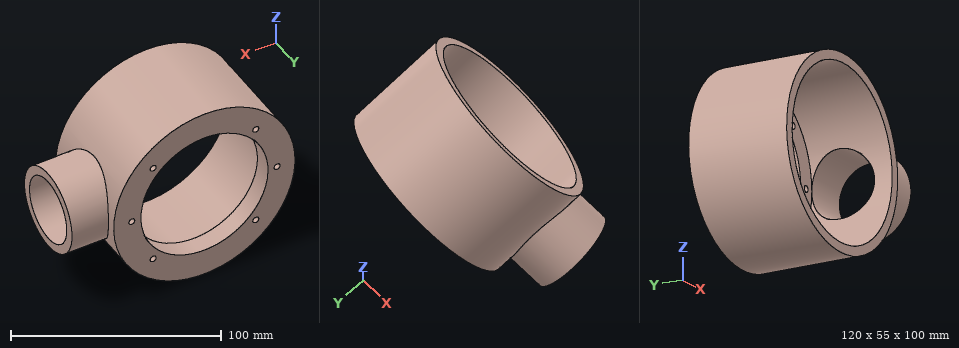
import cadquery as cq
import math

overall_length = 120.0
ring_diameter = 100.0
ring_bore = 90.0
ring_depth = 55.0
flange_opening = 70.0
flange_thickness = 10.0
pipe_diameter = 45.0
pipe_bore = 35.0
screw_hole_diameter = 3.2
screw_hole_angles = (0, 45, 135, 180, 225, 315)

ring_radius = ring_diameter / 2
pipe_end = overall_length - ring_radius
screw_circle_radius = (ring_bore + flange_opening) / 4


def cylinder_along_y(diameter, start, length):
    return cq.Workplane("XY").add(
        cq.Solid.makeCylinder(diameter / 2, length, cq.Vector(0, start, 0), cq.Vector(0, 1, 0))
    )


def cylinder_along_x(diameter):
    """Cylinder from the ring centre to the open end of the side pipe."""
    return cq.Workplane("YZ").circle(diameter / 2).extrude(pipe_end)


def screw_holes():
    centres = [
        (
            screw_circle_radius * math.cos(math.radians(angle)),
            screw_circle_radius * math.sin(math.radians(angle)),
        )
        for angle in screw_hole_angles
    ]
    return (
        cq.Workplane("XZ")
        .pushPoints(centres)
        .circle(screw_hole_diameter / 2)
        .extrude(-ring_depth)
    )


front_face = -ring_depth / 2
body = cylinder_along_y(ring_diameter, front_face, ring_depth).union(cylinder_along_x(pipe_diameter))

body = body.cut(cylinder_along_y(ring_bore, front_face, ring_depth - flange_thickness))

body = body.cut(cylinder_along_y(flange_opening, front_face, ring_depth))
body = body.cut(screw_holes())
result = body.cut(cylinder_along_x(pipe_bore))